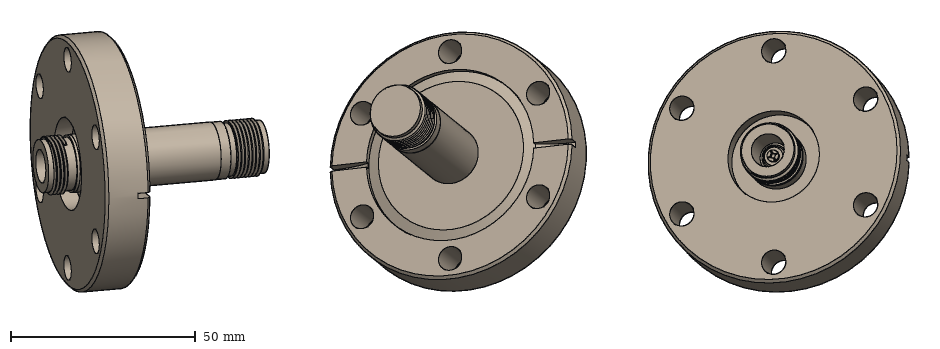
import cadquery as cq
import math


FLANGE_DIAMETER = 69.85
FLANGE_RADIUS = FLANGE_DIAMETER / 2
FLANGE_THICKNESS = 12.7
FLANGE_CHAMFER = 0.8
RECESS_DIAMETER = 25.3
RECESS_DEPTH = 5.0

BOLT_COUNT = 6
BOLT_CIRCLE_DIAMETER = 58.7
BOLT_HOLE_DIAMETER = 6.7

SEAL_RECESS_DIAMETER = 48.3
KNIFE_EDGE_DIAMETER = 41.9
KNIFE_EDGE_DEPTH = 0.64
KNIFE_CONE_ANGLE = 20.0

GROOVE_WIDTH = 1.5
GROOVE_RIM_DEPTH = 3.6
GROOVE_OVERRUN = 1.0
GROOVE_SEAL_DEPTH = 1.26

TOTAL_LENGTH = 62.48
NOSE_LENGTH = 7.6
TUBE_DIAMETER = 15.8
CORE_DIAMETER = 14.5
TUBE_FRONT = 0.35
TUBE_REAR = 43.85
COLLAR_DIAMETER = 15.65
FRONT_COLLAR_LENGTH = 0.8
REAR_COLLAR_LENGTH = 2.8
REAR_END = TOTAL_LENGTH - NOSE_LENGTH

REAR_THREAD_PITCH = 1.04
REAR_THREAD_DIAMETER = 15.8
REAR_THREAD_CRESTS = 8
REAR_THREAD_MARGIN = 1.5
INCH = 25.4
FRONT_THREADS_PER_INCH = 24
FRONT_THREAD_PITCH = INCH / FRONT_THREADS_PER_INCH
FRONT_THREAD_DIAMETER = 16.0
FRONT_THREAD_TURNS = 4.83
FRONT_THREAD_MARGIN = 1.45
FRONT_THREAD_RUN_IN = 0.6
RIDGE_BASE_RATIO = 0.96
THREAD_ROOT_OVERLAP = 0.1

BORE_DIAMETER = 9.1
BORE_INNER_DIAMETER = 8.1
BORE_DEPTH = 9.0
BORE_BOTTOM = BORE_DEPTH - NOSE_LENGTH
SLEEVE_DIAMETER = 6.9
SLEEVE_LENGTH = 0.5
SLEEVE_CONE_DIAMETER = 6.1
SLEEVE_TIP_DIAMETER = 5.1
SLEEVE_CONE_LENGTH = 1.0
CONTACT_DIAMETER = 3.2
CONTACT_LENGTH = 1.0
CONTACT_HOLE_DIAMETER = 1.3
CONTACT_SLOT_WIDTH = 0.3
CONTACT_SLOT_ANGLE = -22.0


def disc(diameter, start, end):
    """Cylinder on the Y axis from Y = start to Y = end."""
    return cq.Workplane("XZ", origin=(0, start, 0)).circle(diameter / 2).extrude(start - end)


def cone(start_diameter, end_diameter, start, end):
    """Truncated cone on the Y axis."""
    solid = cq.Solid.makeCone(
        start_diameter / 2, end_diameter / 2, end - start, cq.Vector(0, start, 0), cq.Vector(0, 1, 0)
    )
    return cq.Workplane(obj=solid)


def make_flange():
    """Chamfered disc with bolt holes, front recess, rear seal recess and leak-check grooves."""
    body = disc(FLANGE_DIAMETER, 0, FLANGE_THICKNESS).edges().chamfer(FLANGE_CHAMFER)
    body = body.cut(disc(RECESS_DIAMETER, 0, RECESS_DEPTH))
    holes = (
        cq.Workplane("XZ")
        .polarArray(BOLT_CIRCLE_DIAMETER / 2, 90, 360, BOLT_COUNT)
        .circle(BOLT_HOLE_DIAMETER / 2)
        .extrude(-FLANGE_THICKNESS)
    )
    return body.cut(holes).cut(make_seal_recess()).cut(make_leak_grooves())


def make_seal_recess():
    """Turned cutter that leaves the knife edge around a flat centre."""
    edge_radius = KNIFE_EDGE_DIAMETER / 2
    wall_radius = SEAL_RECESS_DIAMETER / 2
    edge_y = FLANGE_THICKNESS - KNIFE_EDGE_DEPTH
    cone_drop = (wall_radius - edge_radius) * math.tan(math.radians(KNIFE_CONE_ANGLE))
    return (
        cq.Workplane("XY")
        .moveTo(0, FLANGE_THICKNESS)
        .lineTo(wall_radius, FLANGE_THICKNESS)
        .lineTo(wall_radius, edge_y - cone_drop)
        .lineTo(edge_radius, edge_y)
        .lineTo(0, edge_y)
        .close()
        .revolve(360, (0, 0, 0), (0, 1, 0))
    )


def make_leak_grooves():
    """Grooves on both X sides; each floor curves down from the seal recess to level at the rim."""
    wall_x = SEAL_RECESS_DIAMETER / 2
    inner_x = wall_x - GROOVE_OVERRUN
    outer_x = FLANGE_RADIUS + GROOVE_OVERRUN
    inner_y = FLANGE_THICKNESS - GROOVE_SEAL_DEPTH
    outer_y = FLANGE_THICKNESS - GROOVE_RIM_DEPTH
    groove = (
        cq.Workplane("XY", origin=(0, 0, -GROOVE_WIDTH / 2))
        .moveTo(outer_x, FLANGE_THICKNESS)
        .lineTo(outer_x, outer_y)
        .lineTo(FLANGE_RADIUS, outer_y)
        .tangentArcPoint((wall_x, inner_y), relative=False)
        .lineTo(inner_x, inner_y)
        .lineTo(inner_x, FLANGE_THICKNESS)
        .close()
        .extrude(GROOVE_WIDTH)
    )
    return groove.union(groove.mirror("YZ"))


def make_tube():
    """Connector core along the whole axis, with the thicker tube and its end collars around it."""
    core = disc(CORE_DIAMETER, -NOSE_LENGTH, REAR_END)
    collars = disc(COLLAR_DIAMETER, TUBE_FRONT, TUBE_REAR)
    sleeve = disc(TUBE_DIAMETER, TUBE_FRONT + FRONT_COLLAR_LENGTH, TUBE_REAR - REAR_COLLAR_LENGTH)
    return core.union(collars).union(sleeve)


def make_rear_thread():
    """Ring-shaped ridges; the foremost one ends squarely at its crest."""
    crest_radius = REAR_THREAD_DIAMETER / 2
    root_radius = CORE_DIAMETER / 2
    rear_y = REAR_END - REAR_THREAD_MARGIN
    profile = cq.Workplane("XY").moveTo(0, rear_y)
    for ridge in range(REAR_THREAD_CRESTS):
        root_y = rear_y - ridge * REAR_THREAD_PITCH
        crest_y = root_y - REAR_THREAD_PITCH / 2
        profile = profile.lineTo(root_radius, root_y).lineTo(crest_radius, crest_y)
    profile = profile.lineTo(root_radius, crest_y).lineTo(0, crest_y).close()
    return profile.revolve(360, (0, 0, 0), (0, 1, 0))


def make_front_thread():
    """Right-handed helical ridge, swept along Z, laid onto the Y axis and cut square at its front."""
    crest_radius = FRONT_THREAD_DIAMETER / 2
    root_radius = CORE_DIAMETER / 2 - THREAD_ROOT_OVERLAP
    half_base = RIDGE_BASE_RATIO * FRONT_THREAD_PITCH / 2
    helix = cq.Wire.makeHelix(FRONT_THREAD_PITCH, FRONT_THREAD_PITCH * FRONT_THREAD_TURNS, root_radius)
    ridge = (
        cq.Workplane("XZ")
        .moveTo(root_radius, -half_base)
        .lineTo(crest_radius, 0)
        .lineTo(root_radius, half_base)
        .close()
        .sweep(cq.Workplane(obj=helix), isFrenet=True)
    )
    front_y = FRONT_THREAD_MARGIN - NOSE_LENGTH
    start_y = front_y - FRONT_THREAD_RUN_IN
    thread = ridge.rotate((0, 0, 0), (1, 0, 0), -90).translate((0, start_y, 0))
    return thread.cut(disc(FLANGE_DIAMETER, start_y - FRONT_THREAD_PITCH, front_y))


def make_socket():
    """Slightly tapered bore that opens in the nose face."""
    return cone(BORE_DIAMETER, BORE_INNER_DIAMETER, -NOSE_LENGTH, BORE_BOTTOM)


def make_contact():
    """Stepped insulating sleeve on the bore bottom, carrying a slotted centre contact."""
    cone_base = BORE_BOTTOM - SLEEVE_LENGTH
    sleeve_front = cone_base - SLEEVE_CONE_LENGTH
    contact_front = sleeve_front - CONTACT_LENGTH
    sleeve = disc(SLEEVE_DIAMETER, cone_base, BORE_BOTTOM)
    sleeve = sleeve.union(cone(SLEEVE_TIP_DIAMETER, SLEEVE_CONE_DIAMETER, sleeve_front, cone_base))
    contact = disc(CONTACT_DIAMETER, contact_front, sleeve_front)
    contact = contact.cut(disc(CONTACT_HOLE_DIAMETER, contact_front, sleeve_front))
    for angle in (CONTACT_SLOT_ANGLE, CONTACT_SLOT_ANGLE + 90):
        slot = cq.Workplane("XY").box(CONTACT_DIAMETER, CONTACT_LENGTH, CONTACT_SLOT_WIDTH)
        slot = slot.translate((0, (contact_front + sleeve_front) / 2, 0))
        contact = contact.cut(slot.rotate((0, 0, 0), (0, 1, 0), angle))
    return sleeve.union(contact)


result = make_flange().union(make_tube()).union(make_rear_thread()).union(make_front_thread())
result = result.cut(make_socket()).union(make_contact())